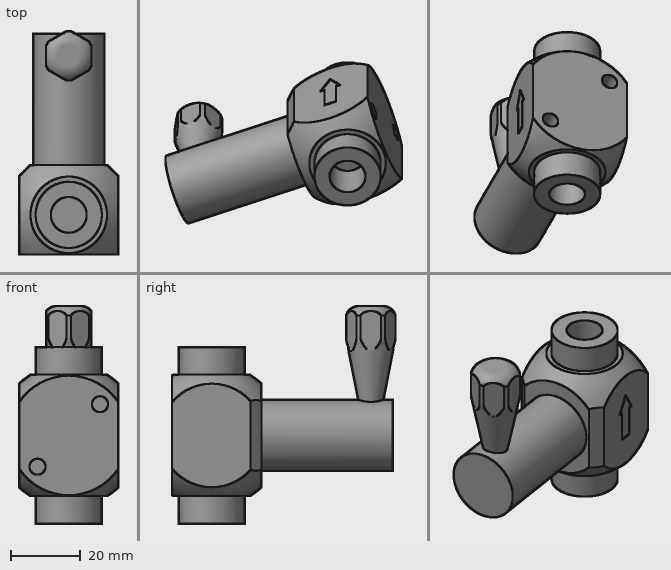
import cadquery as cq
import math

block_width = 28.575
block_height = 34.925
block_front = 11.43
block_rear = block_width / 2
block_depth = block_front + block_rear
edge_chamfer = 3.175
end_flat_radius = 11.0
rounding_radius = math.hypot(end_flat_radius, block_height / 2)

port_diameter = 19.05
port_span = 50.8
bore_diameter = 10.3
bore_depth = 12.7

mount_circle_diameter = 25.4
mount_hole_diameter = 4.6
mount_hole_depth = 6.35
mount_offset = mount_circle_diameter / 2 * math.sqrt(0.5)

arrow_tip = 8.25
arrow_tail = -5.95
arrow_head_length = 5.2
arrow_head_width = 6.0
arrow_shaft_width = 3.6
arrow_depth = 0.1

bonnet_diameter = 20.57
bonnet_end = 52.07

handle_y = 45.72
handle_top = 37.25
grip_diameter = 14.22
grip_across_flats = 12.95
crown_flat_radius = 3.47
crown_arc_radius = 3.8
taper_start = handle_top - 9.75
taper_blend_radius = 6.35
neck_radius = 3.7
neck_height = bonnet_diameter / 2


def z_cylinder(diameter, bottom, height):
    return cq.Workplane("XY").workplane(offset=bottom).circle(diameter / 2).extrude(height)


def make_block():
    block = cq.Workplane("XY").box(block_width, block_depth, block_height)
    block = block.translate((0, (block_rear - block_front) / 2, 0))
    block = block.edges("|Z and >Y").chamfer(edge_chamfer)
    return block.intersect(cq.Workplane("XY").sphere(rounding_radius))


def make_bonnet():
    return cq.Workplane("XZ").circle(bonnet_diameter / 2).extrude(-bonnet_end)


def cut_bores(body):
    for bottom in (-port_span / 2, port_span / 2 - bore_depth):
        body = body.cut(z_cylinder(bore_diameter, bottom, bore_depth))
    return body


def cut_mounting_holes(body):
    holes = (
        cq.Workplane("XZ", origin=(0, -block_front, 0))
        .pushPoints([(mount_offset, mount_offset), (-mount_offset, -mount_offset)])
        .circle(mount_hole_diameter / 2)
        .extrude(-mount_hole_depth)
    )
    return body.cut(holes)


def cut_flow_arrow(body):
    head_base = arrow_tip - arrow_head_length
    half_head = arrow_head_width / 2
    half_shaft = arrow_shaft_width / 2
    arrow = (
        cq.Workplane("YZ", origin=(-block_width / 2, 0, 0))
        .moveTo(0, arrow_tip)
        .lineTo(half_head, head_base)
        .lineTo(half_shaft, head_base)
        .lineTo(half_shaft, arrow_tail)
        .lineTo(-half_shaft, arrow_tail)
        .lineTo(-half_shaft, head_base)
        .lineTo(-half_head, head_base)
        .close()
        .extrude(arrow_depth)
    )
    return body.cut(arrow)


def make_valve_body(bonnet):
    body = make_block().union(bonnet)
    body = body.union(z_cylinder(port_diameter, -port_span / 2, port_span))
    body = cut_bores(body)
    body = cut_mounting_holes(body)
    return cut_flow_arrow(body)


def make_handle(bonnet):
    grip_radius = grip_diameter / 2

    crown_width = grip_radius - crown_flat_radius
    crown_drop = crown_arc_radius - math.sqrt(crown_arc_radius**2 - crown_width**2)

    taper_slope = (grip_radius - neck_radius) / (taper_start - neck_height)
    taper_angle = math.atan(taper_slope)
    blend_length = taper_blend_radius * math.tan(taper_angle / 2)
    blend_end_radius = grip_radius - blend_length * math.sin(taper_angle)
    blend_end_height = taper_start - blend_length * math.cos(taper_angle)

    root_radius = neck_radius - neck_height * taper_slope

    turned = (
        cq.Workplane("XZ")
        .lineTo(root_radius, 0)
        .lineTo(blend_end_radius, blend_end_height)
        .tangentArcPoint((grip_radius, taper_start + blend_length), relative=False)
        .lineTo(grip_radius, handle_top - crown_drop)
        .radiusArc((crown_flat_radius, handle_top), -crown_arc_radius)
        .lineTo(0, handle_top)
        .close()
        .revolve(360, (0, 0, 0), (0, 1, 0))
    )
    across_corners = grip_across_flats / math.cos(math.pi / 6)
    hexagon = (
        cq.Workplane("XY")
        .transformed(rotate=(0, 0, 30))
        .polygon(6, across_corners)
        .extrude(handle_top)
    )
    return turned.intersect(hexagon).translate((0, handle_y, 0)).cut(bonnet)


bonnet = make_bonnet()
valve_body = make_valve_body(bonnet)
handle = make_handle(bonnet)

result = cq.Compound.makeCompound([valve_body.val(), handle.val()])